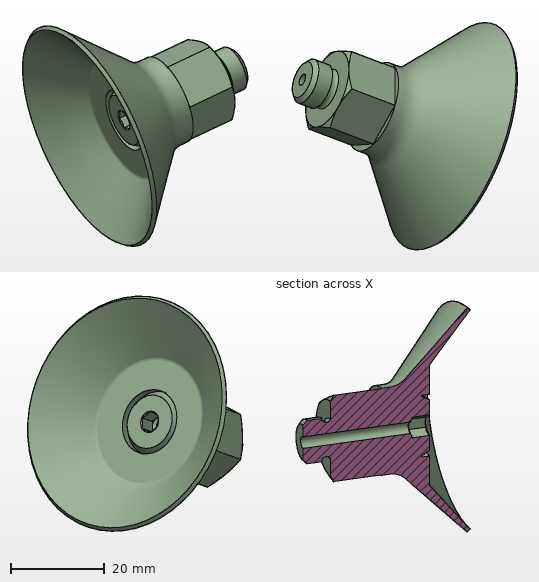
import cadquery as cq
import math

TOTAL_HEIGHT = 38.5
RIM_Y = -TOTAL_HEIGHT / 2

CUP_RADIUS = 25.65
LIP_RADIUS = 25.05
LIP_HEIGHT = 0.75
COLLAR_RADIUS = 10.0
COLLAR_TOP = 20.5
COLLAR_BLEND = 5.05
FLOOR_HEIGHT = 9.4
FLOOR_RADIUS = 13.7
FLOOR_FILLET = 1.0

GROOVE_RADIUS = 14.0 / 2
HEAD_FACE_RADIUS = 5.8
GROOVE_DEPTH = 2.0

HEX_FLATS = 17.15
HEX_TOP = 32.2
HEX_CHAMFER_ANGLE = 30.0

STUD_RADIUS = 10.0 / 2
STUD_BOTTOM = 34.05
STUD_CHAMFER = 1.0
NECK_RADIUS = 8.0 / 2
NECK_ARC_RADIUS = 0.75
NECK_ARC_HEIGHT = 0.7

BORE_RADIUS = 2.5 / 2
SOCKET_FLATS = 4.0
SOCKET_DEPTH = 4.0
SOCKET_TIP_ANGLE = 30.0


def hex_corner_radius(flats):
    return flats / 2 / math.cos(math.pi / 6)


def hex_prism(flats, bottom, top):
    """Hexagonal prism along Y with two flats facing +X and -X."""
    corner_diameter = 2 * hex_corner_radius(flats)
    prism = cq.Workplane("XZ", origin=(0, bottom, 0)).polygon(6, corner_diameter).extrude(bottom - top)
    return prism.rotate((0, 0, 0), (0, 1, 0), 30)


def revolve(profile):
    """Close a (radius, height) profile and turn it around the Y axis."""
    return profile.close().revolve(360, (0, 0, 0), (0, 1, 0))


def cone(bottom_radius, bottom, top_radius, top):
    points = [(0, bottom), (bottom_radius, bottom), (top_radius, top), (0, top)]
    return revolve(cq.Workplane("XY").polyline(points))


def cup_shell():
    blend_bottom_radius = COLLAR_RADIUS + COLLAR_BLEND * (1 - math.cos(math.pi / 4))
    blend_bottom = LIP_HEIGHT + CUP_RADIUS - blend_bottom_radius
    blend_top = blend_bottom + COLLAR_BLEND * math.sin(math.pi / 4)
    blend_middle = (
        COLLAR_RADIUS + COLLAR_BLEND * (1 - math.cos(math.pi / 8)),
        blend_top - COLLAR_BLEND * math.sin(math.pi / 8),
    )
    outside = revolve(
        cq.Workplane("XY")
        .moveTo(0, 0)
        .lineTo(LIP_RADIUS, 0)
        .lineTo(CUP_RADIUS, LIP_HEIGHT)
        .lineTo(blend_bottom_radius, blend_bottom)
        .threePointArc(blend_middle, (COLLAR_RADIUS, blend_top))
        .lineTo(COLLAR_RADIUS, COLLAR_TOP)
        .lineTo(0, COLLAR_TOP)
    )
    inside = cone(LIP_RADIUS, 0, FLOOR_RADIUS, FLOOR_HEIGHT).faces(">Y").edges().fillet(FLOOR_FILLET)
    return outside.cut(inside)


def head_groove():
    """Triangular ring groove: straight outer wall, sloping inner wall."""
    points = [
        (HEAD_FACE_RADIUS, FLOOR_HEIGHT),
        (GROOVE_RADIUS, FLOOR_HEIGHT),
        (GROOVE_RADIUS, FLOOR_HEIGHT + GROOVE_DEPTH),
    ]
    return revolve(cq.Workplane("XY").polyline(points))


def hex_body():
    """Hexagonal body whose upper corners are turned off by a cone."""
    slope = math.tan(math.radians(HEX_CHAMFER_ANGLE))
    bottom_radius = HEX_FLATS / 2 + (HEX_TOP - COLLAR_TOP) / slope
    envelope = cone(bottom_radius, COLLAR_TOP, HEX_FLATS / 2, HEX_TOP)
    return hex_prism(HEX_FLATS, COLLAR_TOP, HEX_TOP).intersect(envelope)


def stud():
    sweep = math.asin(NECK_ARC_HEIGHT / NECK_ARC_RADIUS)

    def neck_radius_at(angle):
        return NECK_RADIUS + NECK_ARC_RADIUS * (1 - math.cos(angle))

    neck_end_radius = neck_radius_at(sweep)
    middle_radius = neck_radius_at(sweep / 2)
    middle_rise = NECK_ARC_RADIUS * math.sin(sweep / 2)
    lower_arc_top = HEX_TOP + NECK_ARC_HEIGHT
    upper_arc_bottom = STUD_BOTTOM - NECK_ARC_HEIGHT
    return revolve(
        cq.Workplane("XY")
        .moveTo(0, HEX_TOP)
        .lineTo(neck_end_radius, HEX_TOP)
        .threePointArc((middle_radius, lower_arc_top - middle_rise), (NECK_RADIUS, lower_arc_top))
        .lineTo(NECK_RADIUS, upper_arc_bottom)
        .threePointArc((middle_radius, upper_arc_bottom + middle_rise), (neck_end_radius, STUD_BOTTOM))
        .lineTo(STUD_RADIUS, STUD_BOTTOM)
        .lineTo(STUD_RADIUS, TOTAL_HEIGHT - STUD_CHAMFER)
        .lineTo(STUD_RADIUS - STUD_CHAMFER, TOTAL_HEIGHT)
        .lineTo(0, TOTAL_HEIGHT)
    )


def bore_and_socket():
    """Through bore, hexagonal socket with a conical bottom, and its countersink."""
    flat_radius = SOCKET_FLATS / 2
    corner_radius = hex_corner_radius(SOCKET_FLATS)
    socket_end = FLOOR_HEIGHT + SOCKET_DEPTH
    bore = cone(BORE_RADIUS, FLOOR_HEIGHT, BORE_RADIUS, TOTAL_HEIGHT)
    socket = hex_prism(SOCKET_FLATS, FLOOR_HEIGHT, socket_end)
    tip_height = (flat_radius - BORE_RADIUS) * math.tan(math.radians(SOCKET_TIP_ANGLE))
    socket_tip = cone(flat_radius, socket_end, BORE_RADIUS, socket_end + tip_height)
    countersink = cone(corner_radius, FLOOR_HEIGHT, flat_radius, FLOOR_HEIGHT + corner_radius - flat_radius)
    return bore.union(socket).union(socket_tip).union(countersink)


part = cup_shell().union(hex_body()).union(stud())
part = part.cut(head_groove()).cut(bore_and_socket())
result = part.translate((0, RIM_Y, 0))